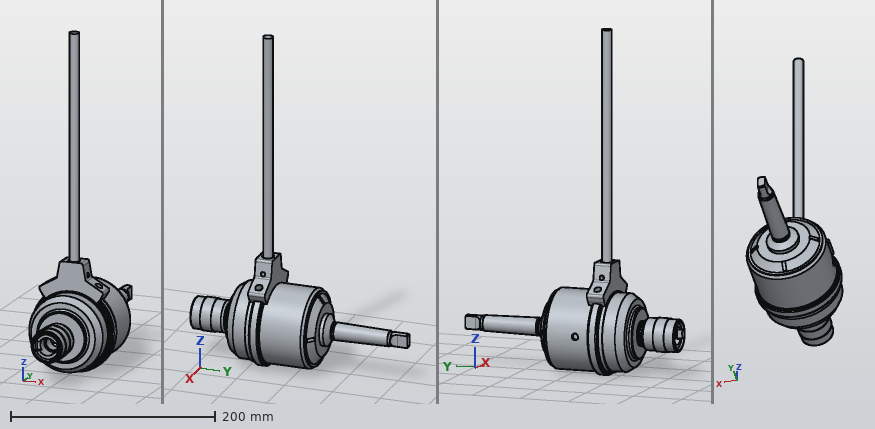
import cadquery as cq
import math


TANG_TIP_Y = 146.5
TANG_COLLAR_Y = 129.5
TAPER_SMALL_Y = 127.0
TAPER_BIG_Y = 71.0
FLANGE_LIP_Y = 69.0
FLANGE_CONE_TOP_Y = 68.0
FLANGE_CONE_FOOT_Y = 63.0
HOUSING_BACK_Y = 59.0
HOUSING_FRONT_Y = -30.5
BOSS_FRONT_Y = -35.7
NOSE_BACK_Y = -43.5
NOSE_TIP_Y = -75.8

TAPER_SMALL_RADIUS = 8.0
TAPER_BIG_RADIUS = 9.0
SHANK_NECK_RADIUS = 8.0
FLANGE_RADIUS = 16.0
TANG_RADIUS = 7.2
TANG_COLLAR_RADIUS = 7.0
TANG_THICKNESS = 7.2
TANG_FLAT_LENGTH = 10.5
TANG_RUNOUT_RADIUS = 7.0
TANG_END_CHAMFER = 1.0

HOUSING_RADIUS = 40.0
HOUSING_FRONT_RADIUS = 38.8
HOUSING_STEP_Y = -9.5
BACK_FACE_RADIUS = 26.8
BACK_CONE_RADIUS = 35.0
BACK_CONE_LENGTH = 6.5
BACK_COLLAR_RADIUS = 37.7
BACK_COLLAR_LENGTH = 1.5
BACK_CHAMFER_LENGTH = 2.7
FRONT_FACE_RADIUS = 33.5
FRONT_CHAMFER_LENGTH = 8.0
BOSS_FOOT_RADIUS = 27.5
BOSS_RADIUS = 25.5
BOSS_FOOT_LENGTH = 1.7
BOSS_CHAMFER = 1.0
SPANNER_GROOVE_DIAMETER = 3.5
SPANNER_GROOVE_LENGTH = 9.3
SPANNER_GROOVE_COUNT = 4
SIDE_HOLE_DIAMETER = 6.5
SIDE_HOLE_DEPTH = 3.5
SIDE_HOLE_Y = 18.5

BAND_DIAMETER = 86.0
BAND_RADIUS = BAND_DIAMETER / 2
BAND_WIDTH = 9.3
BAND_CHAMFER = 1.2
BAND_FOOT_FLARE = 1.0

NOSE_RADIUS = 16.0
NOSE_BELT_RADIUS = 16.8
NOSE_BELT_BACK_Y = -54.0
NOSE_BELT_FRONT_Y = -65.0
NOSE_TIP_CHAMFER = 1.2
NOSE_NECK_RADIUS = 12.5
NECK_LIP_RADIUS = 12.7
NECK_LIP_BACK_Y = -37.5
NECK_GROOVE_RADIUS = 11.5
NECK_GROOVE_BACK_Y = -38.5
NECK_GROOVE_FRONT_Y = -41.0
NECK_SHOULDER_RADIUS = 14.0
BORE_MOUTH_RADIUS = 13.7
BORE_MOUTH_DEPTH = 2.0
BORE_RADIUS = 9.0
BORE_DEPTH = 17.0
INNER_BORE_RADIUS = 7.2
INNER_BORE_DEPTH = 31.0
INNER_BORE_CHAMFER = 0.7
DRILL_POINT_LENGTH = 4.0
DRIVE_SLOT_SPAN = 24.7
DRIVE_SLOT_WIDTH = 9.3
DRIVE_SLOT_DEPTH = 7.0

CLAMP_WIDTH = 17.5
CLAMP_TOP_Z = 69.3
CLAMP_TOP_HALF_WIDTH = 12.0
CLAMP_WAIST_HALF_WIDTH = 15.0
CLAMP_WAIST_Z = 52.0
WING_TIP_X = 34.3
WING_SLOPE = math.radians(30)
WING_END_LENGTH = 8.0
WING_INNER_OFFSET = 2.5
WING_INNER_X = 25.7
CLAMP_FILLET = 2.5
WING_HOLE_DIAMETER = 7.2
WING_HOLE_DEPTH = 8.5
WING_HOLE_X = 26.0
SET_SCREW_DIAMETER = 4.5
SET_SCREW_Z = 55.5

ROD_DIAMETER = 10.0
OVERALL_HEIGHT = 343
ROD_TOP_Z = OVERALL_HEIGHT - BAND_RADIUS
ROD_DEPTH = 17.0
ROD_HOLE_CHAMFER = 1.0


def turned(profile):
    """Solid of revolution about the spindle axis from (radius, y) points."""
    first_y = profile[0][1]
    last_y = profile[-1][1]
    closed = [(0, first_y), *profile]
    if profile[-1][0] > 0:
        closed.append((0, last_y))
    return cq.Workplane("XY").polyline(closed).close().revolve(360, (0, 0), (0, 1))


def make_shank():
    shank = turned([
        (TANG_RADIUS - TANG_END_CHAMFER, TANG_TIP_Y),
        (TANG_RADIUS, TANG_TIP_Y - TANG_END_CHAMFER),
        (TANG_RADIUS, TANG_COLLAR_Y),
        (TANG_COLLAR_RADIUS, TANG_COLLAR_Y),
        (TANG_COLLAR_RADIUS, TAPER_SMALL_Y),
        (TAPER_SMALL_RADIUS, TAPER_SMALL_Y),
        (TAPER_BIG_RADIUS, TAPER_BIG_Y),
        (SHANK_NECK_RADIUS, TAPER_BIG_Y),
        (SHANK_NECK_RADIUS, FLANGE_LIP_Y),
        (TAPER_BIG_RADIUS, FLANGE_LIP_Y),
        (TAPER_BIG_RADIUS, FLANGE_CONE_TOP_Y),
        (FLANGE_RADIUS, FLANGE_CONE_FOOT_Y),
        (FLANGE_RADIUS, HOUSING_BACK_Y),
    ])
    flat_end_y = TANG_TIP_Y - TANG_FLAT_LENGTH
    runout_depth = TANG_RUNOUT_RADIUS * (1 - math.cos(math.pi / 4))
    runout_length = TANG_RUNOUT_RADIUS * math.sin(math.pi / 4)
    flat_x = TANG_THICKNESS / 2
    flat_cut = (
        cq.Workplane("XY")
        .moveTo(flat_x, TANG_TIP_Y)
        .lineTo(flat_x, flat_end_y)
        .threePointArc(
            (flat_x + runout_depth, flat_end_y - runout_length),
            (flat_x + TANG_RUNOUT_RADIUS, flat_end_y - TANG_RUNOUT_RADIUS),
        )
        .lineTo(flat_x + TANG_RUNOUT_RADIUS, TANG_TIP_Y)
        .close()
        .extrude(TANG_RADIUS * 2, both=True)
    )
    return shank.cut(flat_cut).cut(flat_cut.mirror("YZ"))


def make_housing():
    cone_end_y = HOUSING_BACK_Y - BACK_CONE_LENGTH
    collar_end_y = cone_end_y - BACK_COLLAR_LENGTH
    return turned([
        (BACK_FACE_RADIUS, HOUSING_BACK_Y),
        (BACK_CONE_RADIUS, cone_end_y),
        (BACK_COLLAR_RADIUS, cone_end_y),
        (BACK_COLLAR_RADIUS, collar_end_y),
        (HOUSING_RADIUS, collar_end_y - BACK_CHAMFER_LENGTH),
        (HOUSING_RADIUS, HOUSING_STEP_Y),
        (HOUSING_FRONT_RADIUS, HOUSING_STEP_Y),
        (HOUSING_FRONT_RADIUS, HOUSING_FRONT_Y + FRONT_CHAMFER_LENGTH),
        (FRONT_FACE_RADIUS, HOUSING_FRONT_Y),
        (BOSS_FOOT_RADIUS, HOUSING_FRONT_Y),
        (BOSS_RADIUS, HOUSING_FRONT_Y - BOSS_FOOT_LENGTH),
        (BOSS_RADIUS, BOSS_FRONT_Y + BOSS_CHAMFER),
        (BOSS_RADIUS - BOSS_CHAMFER, BOSS_FRONT_Y),
    ])


def make_band():
    half_width = BAND_WIDTH / 2
    half_foot = half_width + BAND_FOOT_FLARE
    flare_radius = HOUSING_RADIUS + BAND_FOOT_FLARE
    shoulder_radius = BAND_RADIUS - BAND_CHAMFER
    return turned([
        (HOUSING_RADIUS, half_foot),
        (flare_radius, half_width),
        (shoulder_radius, half_width),
        (BAND_RADIUS, half_width - BAND_CHAMFER),
        (BAND_RADIUS, BAND_CHAMFER - half_width),
        (shoulder_radius, -half_width),
        (flare_radius, -half_width),
        (HOUSING_RADIUS, -half_foot),
    ])


def make_spanner_grooves():
    """Half-round grooves down the slope of the back cone, evenly spaced around the axis."""
    start = cq.Vector(BACK_FACE_RADIUS, HOUSING_BACK_Y, 0)
    slope = cq.Vector(BACK_CONE_RADIUS - BACK_FACE_RADIUS, -BACK_CONE_LENGTH, 0)
    groove = cq.Solid.makeCylinder(
        SPANNER_GROOVE_DIAMETER / 2, SPANNER_GROOVE_LENGTH, start, slope
    )
    grooves = cq.Workplane("XY")
    for index in range(SPANNER_GROOVE_COUNT):
        angle = index * 360 / SPANNER_GROOVE_COUNT
        grooves = grooves.add(groove.rotate(cq.Vector(0, 0, 0), cq.Vector(0, 1, 0), angle))
    return grooves.combine()


def make_side_hole():
    side_plane = cq.Workplane("YZ", origin=(-HOUSING_RADIUS, SIDE_HOLE_Y, 0))
    return side_plane.circle(SIDE_HOLE_DIAMETER / 2).extrude(SIDE_HOLE_DEPTH)


def make_nose():
    return turned([
        (NOSE_NECK_RADIUS, BOSS_FRONT_Y),
        (NOSE_NECK_RADIUS, NECK_LIP_BACK_Y),
        (NECK_LIP_RADIUS, NECK_LIP_BACK_Y),
        (NECK_LIP_RADIUS, NECK_GROOVE_BACK_Y),
        (NECK_GROOVE_RADIUS, NECK_GROOVE_BACK_Y),
        (NECK_GROOVE_RADIUS, NECK_GROOVE_FRONT_Y),
        (NECK_SHOULDER_RADIUS, NECK_GROOVE_FRONT_Y),
        (NOSE_RADIUS, NOSE_BACK_Y),
        (NOSE_RADIUS, NOSE_BELT_BACK_Y),
        (NOSE_BELT_RADIUS, NOSE_BELT_BACK_Y),
        (NOSE_BELT_RADIUS, NOSE_BELT_FRONT_Y),
        (NOSE_RADIUS, NOSE_BELT_FRONT_Y),
        (NOSE_RADIUS, NOSE_TIP_Y + NOSE_TIP_CHAMFER),
        (NOSE_RADIUS - NOSE_TIP_CHAMFER, NOSE_TIP_Y),
    ])


def make_nose_bore():
    """Stepped bore with a conical mouth and a cross slot for driving the collet."""
    bore_floor_y = NOSE_TIP_Y + BORE_DEPTH
    bore = turned([
        (BORE_MOUTH_RADIUS, NOSE_TIP_Y),
        (DRIVE_SLOT_SPAN / 2, NOSE_TIP_Y + BORE_MOUTH_DEPTH),
        (BORE_RADIUS, NOSE_TIP_Y + BORE_MOUTH_DEPTH),
        (BORE_RADIUS, bore_floor_y),
        (INNER_BORE_RADIUS + INNER_BORE_CHAMFER, bore_floor_y),
        (INNER_BORE_RADIUS, bore_floor_y + INNER_BORE_CHAMFER),
        (INNER_BORE_RADIUS, NOSE_TIP_Y + INNER_BORE_DEPTH),
        (0, NOSE_TIP_Y + INNER_BORE_DEPTH + DRILL_POINT_LENGTH),
    ])
    slot = cq.Workplane("XZ", origin=(0, NOSE_TIP_Y, 0)).rect(DRIVE_SLOT_SPAN, DRIVE_SLOT_WIDTH)
    return bore.union(slot.extrude(-DRIVE_SLOT_DEPTH))


def wing_surface_z(x):
    """Height of the sloping wing surface at a distance x from the middle."""
    return CLAMP_WAIST_Z - (x - CLAMP_WAIST_HALF_WIDTH) * math.tan(WING_SLOPE)


def make_clamp():
    wing_tip_z = wing_surface_z(WING_TIP_X)
    wing_end_x = WING_TIP_X - WING_END_LENGTH * math.sin(WING_SLOPE)
    wing_end_z = wing_tip_z - WING_END_LENGTH * math.cos(WING_SLOPE)
    right_side = [
        (CLAMP_TOP_HALF_WIDTH, CLAMP_TOP_Z),
        (CLAMP_WAIST_HALF_WIDTH, CLAMP_WAIST_Z),
        (WING_TIP_X, wing_tip_z),
        (wing_end_x, wing_end_z),
        (WING_INNER_X, WING_INNER_X + WING_INNER_OFFSET),
    ]
    left_side = [(-x, z) for x, z in reversed(right_side)]
    clamp = (
        cq.Workplane("XZ")
        .polyline(right_side + left_side)
        .close()
        .extrude(CLAMP_WIDTH / 2, both=True)
    )
    lowest_rounded_z = wing_tip_z - CLAMP_FILLET / 2
    rounded_box = cq.selectors.BoxSelector(
        (-2 * WING_TIP_X, -CLAMP_WIDTH, lowest_rounded_z),
        (2 * WING_TIP_X, CLAMP_WIDTH, 2 * CLAMP_TOP_Z),
    )
    rounded_edges = clamp.edges("|Y").edges(rounded_box)
    return rounded_edges.fillet(CLAMP_FILLET)


def make_clamp_holes():
    """One screw hole square to each wing and one set screw hole from each side to the rod."""
    holes = cq.Workplane("XY")
    for side in (-1, 1):
        wing_normal = cq.Vector(side * math.sin(WING_SLOPE), 0, math.cos(WING_SLOPE))
        wing_point = cq.Vector(side * WING_HOLE_X, 0, wing_surface_z(WING_HOLE_X))
        wing_hole = cq.Solid.makeCylinder(
            WING_HOLE_DIAMETER / 2, WING_HOLE_DEPTH, wing_point, -wing_normal
        )
        set_screw_hole = cq.Solid.makeCylinder(
            SET_SCREW_DIAMETER / 2,
            CLAMP_WAIST_HALF_WIDTH,
            cq.Vector(0, 0, SET_SCREW_Z),
            cq.Vector(side, 0, 0),
        )
        holes = holes.add(wing_hole).add(set_screw_hole)
    return holes.combine()


def make_rod():
    bottom_z = CLAMP_TOP_Z - ROD_DEPTH
    rod_plane = cq.Workplane("XY", origin=(0, 0, bottom_z))
    return rod_plane.circle(ROD_DIAMETER / 2).extrude(ROD_TOP_Z - bottom_z)


def make_rod_hole():
    """Hole that the rod fills, with a chamfered mouth."""
    countersink = cq.Solid.makeCone(
        ROD_DIAMETER / 2,
        ROD_DIAMETER / 2 + ROD_HOLE_CHAMFER,
        ROD_HOLE_CHAMFER,
        cq.Vector(0, 0, CLAMP_TOP_Z - ROD_HOLE_CHAMFER),
    )
    return make_rod().union(cq.Workplane(countersink))


def make_attachment():
    attachment = make_housing().union(make_shank()).union(make_nose())
    attachment = attachment.union(make_band()).union(make_clamp())
    for cutter in (
        make_spanner_grooves(),
        make_side_hole(),
        make_nose_bore(),
        make_clamp_holes(),
        make_rod_hole(),
    ):
        attachment = attachment.cut(cutter)
    return attachment


attachment = make_attachment()
rod = make_rod()

result = cq.Compound.makeCompound([attachment.val(), rod.val()])